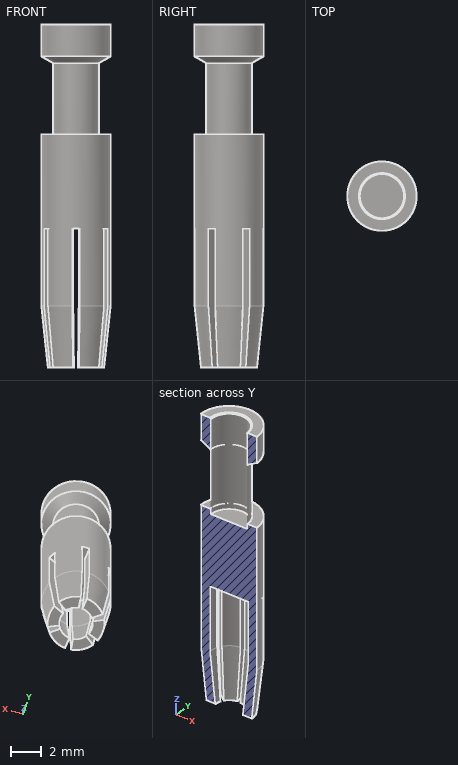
import math

import cadquery as cq

total_length = 22.2
body_diameter = 4.5
neck_diameter = 3.0
tip_diameter = 3.66

tip_taper_length = 4.0
shoulder_height = 15.1

collar_length = 2.5
collar_underside_angle = 30

wire_bore_diameter = 2.85
wire_bore_mouth_diameter = 3.0
wire_bore_depth = 7.5

socket_diameter = 3.0
socket_depth = 9.0
slot_count = 6
slot_depth = 9.0
slot_mouth_width = 0.5

tip_z = -total_length / 2
top_z = total_length / 2


def make_body():
    """Turned outline: tapered tip, cylinder, thin neck and collar."""
    body_radius = body_diameter / 2
    neck_radius = neck_diameter / 2
    underside_height = (body_radius - neck_radius) * math.tan(math.radians(collar_underside_angle))
    neck_top_z = top_z - collar_length
    collar_edge_z = neck_top_z + underside_height
    shoulder_z = tip_z + shoulder_height
    profile = (
        cq.Workplane("XZ")
        .moveTo(0, tip_z)
        .lineTo(tip_diameter / 2, tip_z)
        .lineTo(body_radius, tip_z + tip_taper_length)
        .lineTo(body_radius, shoulder_z)
        .lineTo(neck_radius, shoulder_z)
        .lineTo(neck_radius, neck_top_z)
        .lineTo(body_radius, collar_edge_z)
        .lineTo(body_radius, top_z)
        .lineTo(0, top_z)
        .close()
    )
    return profile.revolve(360, (0, 0, 0), (0, 1, 0))


def make_wire_bore():
    """Blind bore with a small 45 degree lead-in chamfer, open at the collar."""
    bore_radius = wire_bore_diameter / 2
    mouth_radius = wire_bore_mouth_diameter / 2
    chamfer = mouth_radius - bore_radius
    floor_z = top_z - wire_bore_depth
    profile = (
        cq.Workplane("XZ")
        .moveTo(0, floor_z)
        .lineTo(bore_radius, floor_z)
        .lineTo(bore_radius, top_z - chamfer)
        .lineTo(mouth_radius, top_z)
        .lineTo(0, top_z)
        .close()
    )
    return profile.revolve(360, (0, 0, 0), (0, 1, 0))


def make_socket():
    """Blind socket open at the tip, narrowing along the taper like the outside."""
    socket_radius = socket_diameter / 2
    wall_thickness = body_diameter / 2 - socket_radius
    floor_z = tip_z + socket_depth
    profile = (
        cq.Workplane("XZ")
        .moveTo(0, tip_z)
        .lineTo(tip_diameter / 2 - wall_thickness, tip_z)
        .lineTo(socket_radius, tip_z + tip_taper_length)
        .lineTo(socket_radius, floor_z)
        .lineTo(0, floor_z)
        .close()
    )
    return profile.revolve(360, (0, 0, 0), (0, 1, 0))


def make_slot(angle):
    """Slot with radial side walls: a wedge from the axis out past the body."""
    reach = body_diameter
    half_width_at_reach = slot_mouth_width * reach / body_diameter
    wedge = (
        cq.Workplane("XY", origin=(0, 0, tip_z))
        .moveTo(0, 0)
        .lineTo(-half_width_at_reach, -reach)
        .lineTo(half_width_at_reach, -reach)
        .close()
        .extrude(slot_depth)
    )
    return wedge.rotate((0, 0, 0), (0, 0, 1), angle)


result = make_body().cut(make_wire_bore()).cut(make_socket())
for slot_index in range(slot_count):
    result = result.cut(make_slot(slot_index * 360 / slot_count))